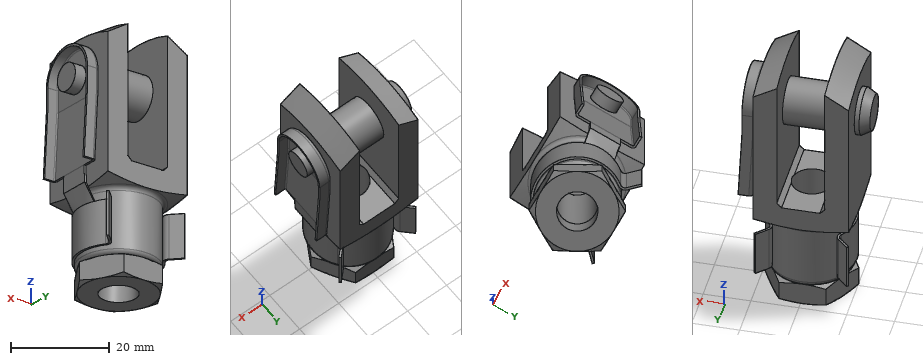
import cadquery as cq
import math


total_height = 57.0
thread_core_diameter = 8.38

nut_height = 5.0
nut_across_flats = 17.0
nut_chamfer_angle = 20.0

fork_width = 20.0
slot_width = 10.0
slot_floor_z = 25.0
slot_chamfer = 1.0
fork_block_z = 20.0
underside_angle = 15.0
tip_bevel_angle = 30.0
shank_diameter = 18.0
shank_rounding = 1.0

pin_diameter = 10.0
pin_z = 45.0
pin_tip_overhang = 3.0
pin_tip_chamfer = 2.0
pin_tip_angle = 30.0
rivet_diameter = 6.2
rivet_overhang = 0.15

sheet = 0.5
head_radius = 7.07
head_depth = 3.0
head_bend_radius = 0.75
head_straight_length = 5.0
lever_bottom_z = 24.5
lever_lean = 0.8
ring_bottom_z = 7.0
ring_height = 10.0
strip_half_angle = 22.0
strip_bend_z = 20.7
strip_inset = 0.1
tab_angle = 135.0
tab_tip_radius = 13.6
tab_offset = 0.35
tab_bend_radius = 1.0

half_width = fork_width / 2
core_radius = thread_core_diameter / 2
shank_radius = shank_diameter / 2
pin_radius = pin_diameter / 2
ring_inner = shank_radius
ring_outer = ring_inner + sheet
ring_top_z = ring_bottom_z + ring_height


def tangent(angle):
    return math.tan(math.radians(angle))


def thread_core():
    return cq.Workplane("XY").circle(core_radius).extrude(total_height)


def make_nut():
    corner_radius = nut_across_flats / 2 / math.cos(math.radians(30))
    face_radius = nut_across_flats / 2
    chamfer_height = (corner_radius - face_radius) * tangent(nut_chamfer_angle)

    hexagon = cq.Workplane("XY").polygon(6, 2 * corner_radius).extrude(nut_height)
    chamfer_envelope = (
        cq.Workplane("XZ")
        .moveTo(0, 0)
        .lineTo(face_radius, 0)
        .lineTo(corner_radius, chamfer_height)
        .lineTo(corner_radius, nut_height - chamfer_height)
        .lineTo(face_radius, nut_height)
        .lineTo(0, nut_height)
        .close()
        .revolve(360, (0, 0), (0, 1))
    )
    return hexagon.intersect(chamfer_envelope).cut(thread_core())


def fork_block():
    """Square block with a conical underside and bevelled, arched tips."""
    block_height = total_height - fork_block_z
    block = (
        cq.Workplane("XY")
        .workplane(offset=fork_block_z)
        .rect(fork_width, fork_width)
        .extrude(block_height)
    )

    rim_radius = fork_width
    rim_z = fork_block_z + (rim_radius - half_width) * tangent(underside_angle)
    underside_envelope = (
        cq.Workplane("XZ")
        .moveTo(0, fork_block_z)
        .lineTo(half_width, fork_block_z)
        .lineTo(rim_radius, rim_z)
        .lineTo(rim_radius, total_height)
        .lineTo(0, total_height)
        .close()
        .revolve(360, (0, 0), (0, 1))
    )

    arch_radius = total_height - slot_floor_z
    slot_half = slot_width / 2
    shoulder_z = total_height - (half_width - slot_half) * tangent(tip_bevel_angle)
    tip_envelope = (
        cq.Workplane("XZ")
        .moveTo(-half_width, slot_floor_z)
        .lineTo(-half_width, shoulder_z)
        .lineTo(-slot_half, slot_floor_z + arch_radius)
        .lineTo(slot_half, slot_floor_z + arch_radius)
        .lineTo(half_width, shoulder_z)
        .lineTo(half_width, slot_floor_z)
        .close()
        .revolve(360, (0, slot_floor_z), (1, slot_floor_z))
    )
    return block.intersect(underside_envelope).intersect(tip_envelope)


def fork_shank():
    """Round shank with a rounded lower edge and a hollow fillet under the block."""
    r = shank_rounding
    mid = r * math.sqrt(0.5)
    return (
        cq.Workplane("XZ")
        .moveTo(0, nut_height)
        .lineTo(shank_radius - r, nut_height)
        .threePointArc(
            (shank_radius - r + mid, nut_height + r - mid),
            (shank_radius, nut_height + r),
        )
        .lineTo(shank_radius, fork_block_z - r)
        .threePointArc(
            (shank_radius + r - mid, fork_block_z - r + mid),
            (shank_radius + r, fork_block_z),
        )
        .lineTo(0, fork_block_z)
        .close()
        .revolve(360, (0, 0), (0, 1))
    )


def fork_slot():
    slot_height = total_height - slot_floor_z
    return (
        cq.Workplane("XY")
        .workplane(offset=slot_floor_z)
        .rect(slot_width, fork_width)
        .extrude(slot_height)
        .edges("<Z and |Y")
        .chamfer(slot_chamfer)
    )


def make_fork():
    pin_hole = (
        cq.Workplane("YZ")
        .center(0, pin_z)
        .circle(pin_radius)
        .extrude(half_width, both=True)
    )
    return fork_block().union(fork_shank()).cut(fork_slot()).cut(pin_hole).cut(thread_core())


head_inner_x = half_width
head_outer_x = head_inner_x + head_depth
lever_top_z = pin_z - head_straight_length


def pin():
    """Pin with a tapered tip and a riveted end that passes through the clip."""
    tip_x = -half_width - pin_tip_overhang
    taper_x = tip_x + pin_tip_chamfer
    tip_radius = pin_radius - pin_tip_chamfer * tangent(pin_tip_angle)
    rivet_radius = rivet_diameter / 2
    rivet_x = head_outer_x + rivet_overhang
    return (
        cq.Workplane("XY")
        .moveTo(tip_x, 0)
        .lineTo(tip_x, tip_radius)
        .lineTo(taper_x, pin_radius)
        .lineTo(head_inner_x, pin_radius)
        .lineTo(head_inner_x, rivet_radius)
        .lineTo(rivet_x, rivet_radius)
        .lineTo(rivet_x, 0)
        .close()
        .revolve(360, (0, 0), (1, 0))
        .translate((0, 0, pin_z))
    )


def filled_head(inset):
    """Outer shape of the clip head and lever, moved inward by the inset.

    A round cap above the pin axis, a straight part below it and a leaning lever.
    """
    web_x = head_inner_x + inset
    side_y = head_radius - inset
    bend = head_bend_radius - inset
    bend_mid = bend * (1 - math.sqrt(0.5))

    cap = (
        cq.Workplane("XY")
        .moveTo(web_x, 0)
        .lineTo(web_x, side_y - bend)
        .threePointArc((web_x + bend_mid, side_y - bend_mid), (web_x + bend, side_y))
        .lineTo(head_outer_x, side_y)
        .lineTo(head_outer_x, 0)
        .close()
        .revolve(180, (0, 0), (1, 0))
        .translate((0, 0, pin_z))
    )
    section = (
        cq.Workplane("XY")
        .moveTo(head_outer_x, -side_y)
        .lineTo(web_x + bend, -side_y)
        .threePointArc((web_x + bend_mid, -side_y + bend_mid), (web_x, -side_y + bend))
        .lineTo(web_x, side_y - bend)
        .threePointArc((web_x + bend_mid, side_y - bend_mid), (web_x + bend, side_y))
        .lineTo(head_outer_x, side_y)
        .close()
        .val()
        .translate(cq.Vector(0, 0, lever_top_z))
    )
    straight = cq.Solid.extrudeLinear(section, [], cq.Vector(0, 0, head_straight_length))
    lean = cq.Vector(lever_lean, 0, lever_bottom_z - lever_top_z)
    lever = cq.Solid.extrudeLinear(section, [], lean)
    return cap.union(cq.Workplane(straight)).union(cq.Workplane(lever))


def clip_head():
    return filled_head(0).cut(filled_head(sheet))


def polar(radius, angle):
    return (radius * math.cos(math.radians(angle)), radius * math.sin(math.radians(angle)))


def ring_sector(start_angle, end_angle):
    """Closed outline of a stretch of the ring, drawn counterclockwise."""
    middle = (start_angle + end_angle) / 2
    return (
        cq.Workplane("XY")
        .moveTo(*polar(ring_inner, start_angle))
        .lineTo(*polar(ring_outer, start_angle))
        .threePointArc(polar(ring_outer, middle), polar(ring_outer, end_angle))
        .lineTo(*polar(ring_inner, end_angle))
        .threePointArc(polar(ring_inner, middle), polar(ring_inner, start_angle))
        .close()
    )


def clip_strip():
    """Narrow strip from the lever down to the ring; its lower part bends inward."""
    top_x = head_inner_x + lever_lean
    bend_x = top_x - strip_inset
    half_strip = polar(ring_outer, strip_half_angle)[1]
    upper = (
        cq.Workplane("XZ")
        .moveTo(top_x, lever_bottom_z)
        .lineTo(top_x + sheet, lever_bottom_z)
        .lineTo(bend_x + sheet, strip_bend_z)
        .lineTo(bend_x, strip_bend_z)
        .close()
        .extrude(half_strip, both=True)
    )
    strip_end = (
        cq.Workplane("XY")
        .moveTo(bend_x, -half_strip)
        .lineTo(bend_x + sheet, -half_strip)
        .lineTo(bend_x + sheet, half_strip)
        .lineTo(bend_x, half_strip)
        .close()
        .val()
        .translate(cq.Vector(0, 0, strip_bend_z))
    )
    ring_end = (
        ring_sector(-strip_half_angle, strip_half_angle)
        .val()
        .translate(cq.Vector(0, 0, ring_top_z))
    )
    lower = cq.Solid.makeLoft([ring_end, strip_end], True)
    return upper.union(cq.Workplane(lower))


def clip_ring():
    """Open ring around the shank whose two ends bend outward into flared tabs.

    Each tab is drawn along +X and turned to its angle; the second mirrors the first.
    """
    bend_center_y = tab_offset + tab_bend_radius
    center_distance = ring_outer + tab_bend_radius
    bend_center_x = math.sqrt(center_distance**2 - bend_center_y**2)
    bend_angle = math.degrees(math.asin(bend_center_y / center_distance))
    bend_start = 180 + bend_angle
    bend_end = 270
    bend_middle = (bend_start + bend_end) / 2
    back_radius = tab_bend_radius + sheet

    def bend_point(radius, angle):
        x, y = polar(radius, angle)
        return (bend_center_x + x, bend_center_y + y)

    tab = (
        cq.Workplane("XY")
        .moveTo(*bend_point(tab_bend_radius, bend_start))
        .threePointArc(
            bend_point(tab_bend_radius, bend_middle),
            bend_point(tab_bend_radius, bend_end),
        )
        .lineTo(tab_tip_radius, tab_offset)
        .lineTo(tab_tip_radius, tab_offset - sheet)
        .lineTo(*bend_point(back_radius, bend_end))
        .threePointArc(
            bend_point(back_radius, bend_middle),
            bend_point(back_radius, bend_start),
        )
        .close()
        .extrude(ring_height)
        .rotate((0, 0, 0), (0, 0, 1), tab_angle)
    )
    ring_start = tab_angle + bend_angle
    ring_end = 360 + 180 - ring_start
    ring = ring_sector(ring_start, ring_end).extrude(ring_height)
    return ring.union(tab).union(tab.mirror("YZ")).translate((0, 0, ring_bottom_z))


def make_clip_pin():
    return pin().union(clip_head()).union(clip_strip()).union(clip_ring())


nut = make_nut()
fork = make_fork()
clip_pin = make_clip_pin()

result = cq.Compound.makeCompound([nut.val(), fork.val(), clip_pin.val()])